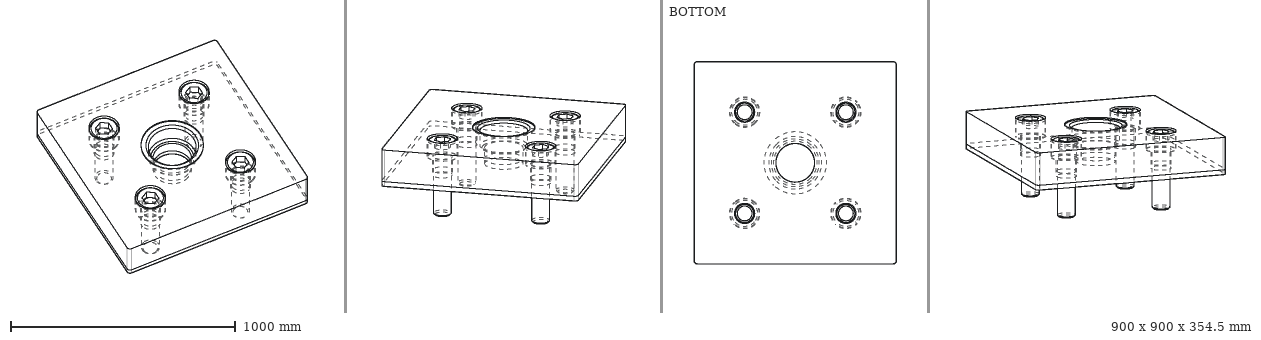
import cadquery as cq
import math

side = 900
stack_height = 170.0
sheet_thickness = 22.5
corner_radius = 15.0

rim_diameter = 277.0
rim_depth = 5.0
bore_diameter = 212.0
bore_lead_in = 11.0
seat_depth = 95.0
seat_chamfer = 10.0
through_diameter = 171

bolt_spacing = 450
shank_diameter = 80.0
shank_length = 270
shank_chamfer = 7.0
head_diameter = 130.0
head_height = shank_diameter
head_chamfer = 7.0
head_recess = 4.5
socket_across_flats = 65.0
socket_depth = 38.0
socket_sides = 6
socket_across_corners = socket_across_flats / math.cos(math.pi / socket_sides)

counterbore_diameter = 135
clearance_diameter = 90

bolt_seat_z = stack_height - head_recess - head_height


def rounded_plate(bottom_z, thickness):
    """Square plate with rounded vertical corners."""
    plate = cq.Workplane("XY").workplane(offset=bottom_z).rect(side, side).extrude(thickness)
    return plate.edges("|Z").fillet(corner_radius)


def bolt_pattern(z):
    """Workplane at height z carrying the four bolt positions."""
    plane = cq.Workplane("XY").workplane(offset=z)
    return plane.rect(bolt_spacing, bolt_spacing, forConstruction=True).vertices()


def clearance_holes():
    """Cutters for the bolt shanks, through the full stack."""
    return bolt_pattern(0).circle(clearance_diameter / 2).extrude(stack_height)


def counterbores():
    """Cutters that sink the bolt heads below the top face."""
    return bolt_pattern(bolt_seat_z).circle(counterbore_diameter / 2).extrude(stack_height - bolt_seat_z)


def central_bore():
    """Revolved cutter: rim recess, lead-in chamfer, bore, chamfered seat and through hole."""
    rim_radius = rim_diameter / 2
    bore_radius = bore_diameter / 2
    through_radius = through_diameter / 2
    rim_z = stack_height - rim_depth
    seat_z = stack_height - seat_depth
    profile = (
        cq.Workplane("XZ")
        .moveTo(0, 0)
        .lineTo(through_radius, 0)
        .lineTo(through_radius, seat_z)
        .lineTo(bore_radius - seat_chamfer, seat_z)
        .lineTo(bore_radius, seat_z + seat_chamfer)
        .lineTo(bore_radius, rim_z - bore_lead_in)
        .lineTo(bore_radius + bore_lead_in, rim_z)
        .lineTo(rim_radius, rim_z)
        .lineTo(rim_radius, stack_height)
        .lineTo(0, stack_height)
        .close()
    )
    return profile.revolve(360, (0, 0, 0), (0, 1, 0))


def make_block():
    """Thick upper block with the stepped bore and counterbored bolt holes."""
    block = rounded_plate(sheet_thickness, stack_height - sheet_thickness)
    return block.cut(central_bore()).cut(clearance_holes()).cut(counterbores())


def make_base_sheet():
    """Thin sheet under the block, sharing its through hole and bolt holes."""
    return rounded_plate(0, sheet_thickness).cut(central_bore()).cut(clearance_holes())


def make_bolt(x, y):
    """Socket-head bolt whose head rests on the counterbore floor at (x, y)."""
    seat = cq.Workplane("XY").workplane(offset=bolt_seat_z)
    head = seat.circle(head_diameter / 2).extrude(head_height)
    head = head.faces(">Z").edges().chamfer(head_chamfer)
    shank = seat.circle(shank_diameter / 2).extrude(-shank_length)
    shank = shank.faces("<Z").edges().chamfer(shank_chamfer)
    socket = (
        seat.workplane(offset=head_height)
        .polygon(socket_sides, socket_across_corners)
        .extrude(-socket_depth)
    )
    return head.union(shank).cut(socket).translate((x, y, 0))


block = make_block()
base_sheet = make_base_sheet()
bolts = []
for x in (-bolt_spacing / 2, bolt_spacing / 2):
    for y in (-bolt_spacing / 2, bolt_spacing / 2):
        bolts.append(make_bolt(x, y).val())

result = cq.Compound.makeCompound([block.val(), base_sheet.val(), *bolts])